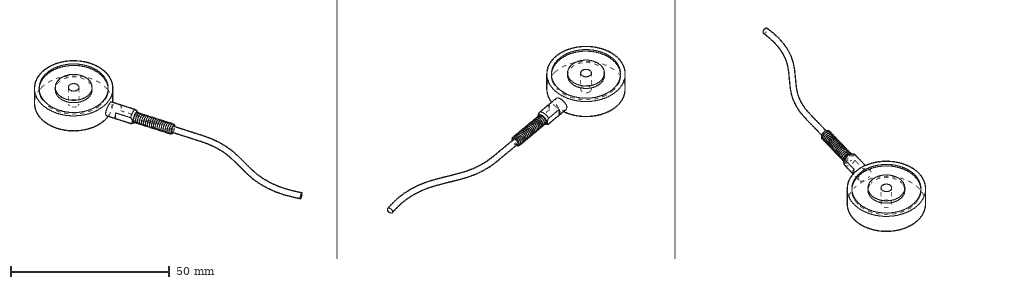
import cadquery as cq
import math

body_diameter = 24.9
body_height = 6.7
overall_height = 7.1
recess_diameter = 21.9
recess_depth = 0.7
button_diameter = 11.7
hole_diameter = 3.4

cable_axis_height = 2.6
fitting_diameter = 4.7
fitting_end_x = 21.5
fitting_chamfer_length = 0.8
fitting_chamfer_depth = 0.5
flats_start_x = 15.5
flats_width = 3.95

relief_diameter = 3.4
relief_groove_diameter = 3.0
rib_count = 19
rib_pitch = 0.68
relief_end_x = fitting_end_x + rib_count * rib_pitch

cable_diameter = 2.0
first_bend_x = 44.8
first_bend_radius = 25.8
bend_angle = 30
middle_length = 7.7
second_bend_radius = 27.0
end_angle = -7
overall_length = 96.3


def make_body():
    recess_floor = body_height - recess_depth
    body = cq.Workplane("XY").circle(body_diameter / 2).extrude(body_height)
    recess = (
        cq.Workplane("XY").workplane(offset=recess_floor)
        .circle(recess_diameter / 2).extrude(recess_depth)
    )
    button = cq.Workplane("XY").circle(button_diameter / 2).extrude(overall_height)
    return body.cut(recess).union(button)


def make_fitting():
    """Chamfered cylinder with a wrench flat on the -Y and +Y sides."""
    radius = fitting_diameter / 2
    start_x = (body_diameter + hole_diameter) / 4
    fitting = (
        cq.Workplane("XY")
        .moveTo(start_x, 0)
        .lineTo(start_x, radius)
        .lineTo(fitting_end_x - fitting_chamfer_length, radius)
        .lineTo(fitting_end_x, radius - fitting_chamfer_depth)
        .lineTo(fitting_end_x, 0)
        .close()
        .revolve(360, (0, 0, 0), (1, 0, 0))
    )
    flats_length = fitting_end_x - flats_start_x
    for side in (-1, 1):
        flat_cut = (
            cq.Workplane("XY")
            .box(flats_length, flats_width, fitting_diameter, centered=(False, True, True))
            .translate((flats_start_x, side * flats_width, 0))
        )
        fitting = fitting.cut(flat_cut)
    return fitting


def make_strain_relief():
    """Row of rounded ribs meeting in sharp grooves."""
    groove_radius = relief_groove_diameter / 2
    profile = cq.Workplane("XY").moveTo(fitting_end_x, 0).lineTo(fitting_end_x, groove_radius)
    for index in range(rib_count):
        rib_start = fitting_end_x + index * rib_pitch
        profile = profile.threePointArc(
            (rib_start + rib_pitch / 2, relief_diameter / 2),
            (rib_start + rib_pitch, groove_radius),
        )
    return profile.lineTo(relief_end_x, 0).close().revolve(360, (0, 0, 0), (1, 0, 0))


def heading(angle):
    """Unit vector in the XY plane, measured clockwise from +X."""
    return cq.Vector(math.cos(math.radians(angle)), -math.sin(math.radians(angle)))


def bend_point(start, start_angle, angle, signed_radius):
    """Point on a bend where the heading is angle; a positive radius turns toward -Y."""
    turn_start = math.radians(start_angle)
    turn_end = math.radians(angle)
    return start + cq.Vector(
        signed_radius * (math.sin(turn_end) - math.sin(turn_start)),
        signed_radius * (math.cos(turn_end) - math.cos(turn_start)),
    )


def bend_edge(start, start_angle, stop_angle, signed_radius):
    middle = bend_point(start, start_angle, (start_angle + stop_angle) / 2, signed_radius)
    stop = bend_point(start, start_angle, stop_angle, signed_radius)
    return cq.Edge.makeThreePointArc(start, middle, stop)


def make_cable():
    start = cq.Vector(relief_end_x, 0)
    first_bend_start = cq.Vector(first_bend_x, 0)
    first_bend = bend_edge(first_bend_start, 0, bend_angle, first_bend_radius)
    middle_start = first_bend.endPoint()
    middle_end = middle_start + heading(bend_angle) * middle_length
    second_bend = bend_edge(middle_end, bend_angle, end_angle, -second_bend_radius)
    end_start = second_bend.endPoint()

    tip_x = overall_length - body_diameter / 2
    corner_reach = cable_diameter / 2 * math.sin(math.radians(abs(end_angle)))
    end_direction = heading(end_angle)
    end_length = (tip_x - corner_reach - end_start.x) / end_direction.x

    path = cq.Wire.assembleEdges([
        cq.Edge.makeLine(start, first_bend_start),
        first_bend,
        cq.Edge.makeLine(middle_start, middle_end),
        second_bend,
        cq.Edge.makeLine(end_start, end_start + end_direction * end_length),
    ])
    section = cq.Workplane("YZ", origin=start.toTuple()).circle(cable_diameter / 2)
    return section.sweep(cq.Workplane(path))


lead = make_fitting().union(make_strain_relief()).union(make_cable())
lead = lead.translate((0, 0, cable_axis_height))
centre_hole = cq.Workplane("XY").circle(hole_diameter / 2).extrude(overall_height)
result = make_body().union(lead).cut(centre_hole)